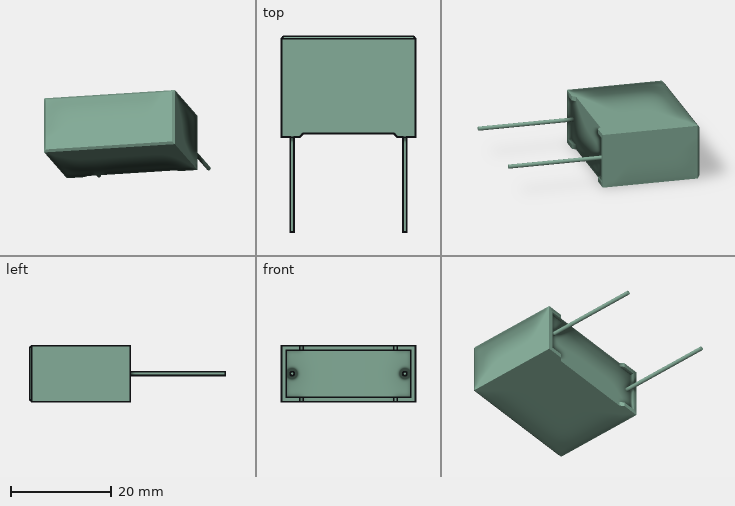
import cadquery as cq

WIDTH = 26.8
HEIGHT = 11.22
TOTAL_LENGTH = 39.1
CASE_LENGTH = 20.15
WALL = 0.95
BACK_CHAMFER = 0.45

FOOT_WIDTH = 3.68
NOTCH_DEPTH = 0.7

FILL_RECESS = NOTCH_DEPTH
LEAD_DIAMETER = 0.82
LEAD_PITCH = 22.5

CAVITY_WIDTH = WIDTH - 2 * WALL
CAVITY_HEIGHT = HEIGHT - 2 * WALL
CAVITY_END = CASE_LENGTH - WALL
LEAD_TIP = CASE_LENGTH - TOTAL_LENGTH


def block(width, height, y_start, y_end):
    """Box centred on the Y axis, spanning y_start to y_end."""
    length = y_end - y_start
    return cq.Workplane("XY").box(width, length, height).translate((0, y_start + length / 2, 0))


def make_notch():
    """Trapezoidal cutter that lowers both long walls between the corner feet."""
    mouth = WIDTH / 2 - FOOT_WIDTH
    floor = mouth - NOTCH_DEPTH
    outline = [(-mouth, 0), (mouth, 0), (floor, NOTCH_DEPTH), (-floor, NOTCH_DEPTH)]
    return cq.Workplane("XY").polyline(outline).close().extrude(HEIGHT / 2, both=True)


def make_case():
    """Box open at the -Y end, with a chamfered closed end and notched rim."""
    shell = block(WIDTH, HEIGHT, 0, CASE_LENGTH).faces(">Y").chamfer(BACK_CHAMFER)
    cavity = block(CAVITY_WIDTH, CAVITY_HEIGHT, 0, CAVITY_END)
    return shell.cut(cavity).cut(make_notch())


def make_filling():
    """Potting block that fills the cavity up to its recessed face."""
    return block(CAVITY_WIDTH, CAVITY_HEIGHT, FILL_RECESS, CAVITY_END)


def make_lead(x):
    """Round wire standing on the filling face at the given X."""
    wire = cq.Workplane("XZ", origin=(x, FILL_RECESS, 0)).circle(LEAD_DIAMETER / 2)
    return wire.extrude(FILL_RECESS - LEAD_TIP)


case = make_case()
filling = make_filling()
leads = [make_lead(side * LEAD_PITCH / 2) for side in (-1, 1)]

result = cq.Compound.makeCompound([case.val(), filling.val(), *[lead.val() for lead in leads]])